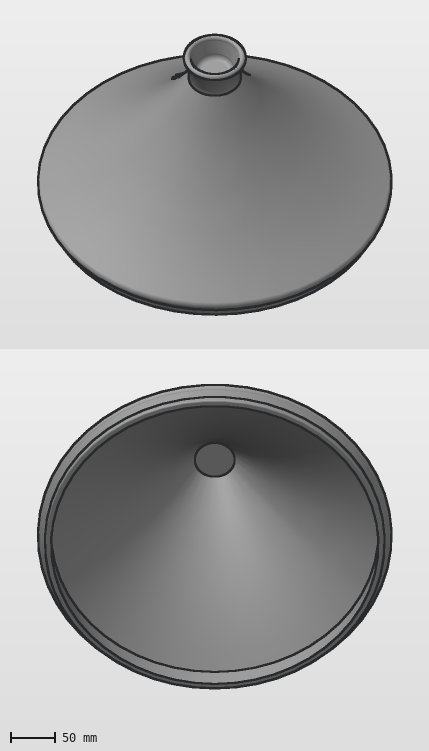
import cadquery as cq
import math

rim_radius = 200.0
total_height = 224.0
wall = 7.0

lip_radius = 192.0
lip_height = 8.5
lip_edge_round = 2.0
rim_bottom_radius = 197.0
rim_bottom_z = 14.5
rim_middle_z = 20.0
rim_top_radius = 196.5
rim_top_z = 25.5

flank_middle_radius = 101.5
flank_middle_z = 99.0
neck_radius = 29.5
flank_top_z = 189.0

neck_z = 194.0
neck_relief = 0.5
flare_middle_radius = 30.8
flare_middle_z = 205.5
knob_radius = 35.0
knob_edge_round = 4.0
knob_edge_z = total_height - knob_edge_round

cup_depth = 25.5
cup_corner_radius = 21.5
cup_floor_radius = 15.0
cup_corner_height = cup_corner_radius - cup_floor_radius
cup_floor_z = total_height - cup_depth


def make_outer_body():
    """Revolve the solid outline of the lid, cup included, about Z."""
    knob_mouth_radius = knob_radius - 2 * knob_edge_round
    corner_offset = cup_corner_height * math.sqrt(0.5)
    profile = (
        cq.Workplane("XZ")
        .lineTo(lip_radius, 0)
        .lineTo(lip_radius, lip_height)
        .lineTo(rim_bottom_radius, rim_bottom_z)
        .threePointArc((rim_radius, rim_middle_z), (rim_top_radius, rim_top_z))
        .threePointArc((flank_middle_radius, flank_middle_z), (neck_radius, flank_top_z))
        .lineTo(neck_radius - neck_relief, neck_z)
        .threePointArc((flare_middle_radius, flare_middle_z), (knob_radius, knob_edge_z))
        .threePointArc((knob_radius - knob_edge_round, total_height), (knob_mouth_radius, knob_edge_z))
        .lineTo(cup_corner_radius, cup_floor_z + cup_corner_height)
        .threePointArc(
            (cup_floor_radius + corner_offset, cup_floor_z + cup_corner_height - corner_offset),
            (cup_floor_radius, cup_floor_z),
        )
        .lineTo(0, cup_floor_z)
        .close()
    )
    body = profile.revolve(360, (0, 0, 0), (0, 1, 0))
    return body.faces("<Z").edges().fillet(lip_edge_round)


def make_cavity():
    """Revolve the hollow underside, following the flank one wall inside."""
    mouth_radius = lip_radius - wall
    diagonal_offset = wall * math.sqrt(0.5)
    profile = (
        cq.Workplane("XZ")
        .lineTo(mouth_radius, 0)
        .lineTo(mouth_radius, rim_top_z)
        .threePointArc(
            (flank_middle_radius - diagonal_offset, flank_middle_z - diagonal_offset),
            (neck_radius - wall, flank_top_z - wall),
        )
        .lineTo(0, flank_top_z - wall)
        .close()
    )
    return profile.revolve(360, (0, 0, 0), (0, 1, 0))


result = make_outer_body().cut(make_cavity())